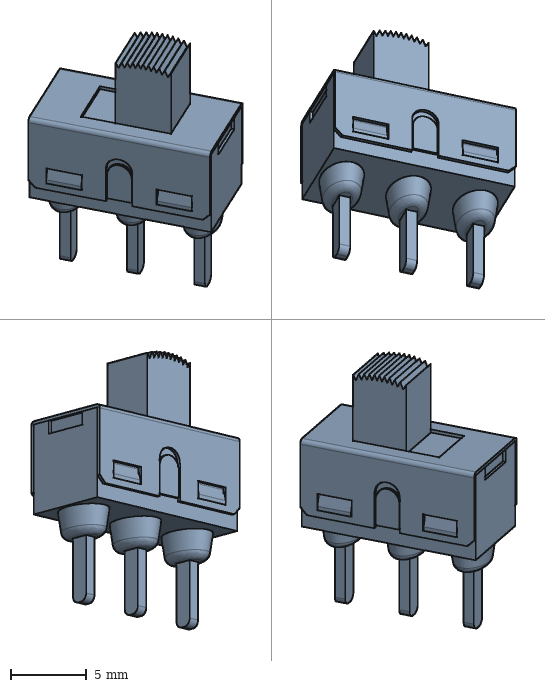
import cadquery as cq
import math


LENGTH = 12.7
SHELL_WIDTH = 6.6
SHELL_TOP = 6.37
SHELL_BOTTOM = 1.01
SHEET = 0.23
BEND_RADIUS = 0.3
CORNER_CHAMFER = 0.5
HOUSING_WIDTH = SHELL_WIDTH - 2 * SHEET
HOUSING_HEIGHT = SHELL_TOP - SHEET
SIDES = (-1, 1)

END_RECESS_WIDTH = 3.18
END_RECESS_HEIGHT = 0.9
END_RECESS_DEPTH = 0.21

WINDOW_INNER_X = 2.6
WINDOW_OUTER_X = 5.09
WINDOW_BOTTOM = 1.51
WINDOW_TOP = 2.7
LATCH_INNER_X = 2.65
LATCH_EDGE_Z = 1.81
LATCH_TOP = 2.6
LATCH_HEIGHT = 0.21

SLOT_WIDTH = 1.85
SLOT_TOP = 4.5
KEY_WIDTH = 1.7
KEY_TOP = 4.0
KEY_BOTTOM = 1.23
KEY_HEIGHT = 0.18

OPENING_LENGTH = 6.3
SLIDER_LENGTH = 3.88
SLIDER_WIDTH = 3.84
SLIDER_X = (OPENING_LENGTH - SLIDER_LENGTH) / 2
SLIDER_TOP = 11.45
CROWN_DROP = 0.34
CROWN_RADIUS = ((SLIDER_LENGTH / 2) ** 2 + CROWN_DROP ** 2) / (2 * CROWN_DROP)
TOOTH_COUNT = 10
TOOTH_ANGLE = 5
TOOTH_DEPTH = 0.41
FAN_HEIGHT = SLIDER_LENGTH / 2 / math.tan(math.radians(TOOTH_ANGLE * TOOTH_COUNT / 2))

PIN_PITCH = 4.7
PIN_POSITIONS = (-PIN_PITCH, 0, PIN_PITCH)
PIN_THICKNESS = 0.76
PIN_WIDTH = 1.28
PIN_LENGTH = 17.78 - SLIDER_TOP
PIN_TIP_RADIUS = 0.5
SEAL_LENGTH = 2.83
SEAL_WIDTH = 3.98
SEAL_HEIGHT = 1.88
SEAL_TAPER = 8.5
SEAL_EDGE_RADIUS = 0.6


def centred_box(length, width, bottom, top):
    """Box centred on the Z axis between two heights."""
    return cq.Workplane("XY").workplane(offset=bottom).rect(length, width).extrude(top - bottom)


def arch(width, bottom, top, depth):
    """Round-topped plate, centred on Y = 0 and `depth` thick along Y."""
    radius = width / 2
    return (
        cq.Workplane("XZ")
        .moveTo(-radius, bottom)
        .lineTo(-radius, top - radius)
        .threePointArc((0, top), (radius, top - radius))
        .lineTo(radius, bottom)
        .close()
        .extrude(depth / 2, both=True)
    )


def make_latches():
    """Pair of wedges across the housing; each shows at both long sides."""
    wall_y = HOUSING_WIDTH / 2
    crest_y = wall_y + LATCH_HEIGHT
    profile = [
        (-crest_y, WINDOW_BOTTOM),
        (crest_y, WINDOW_BOTTOM),
        (crest_y, LATCH_EDGE_Z),
        (wall_y, LATCH_TOP),
        (-wall_y, LATCH_TOP),
        (-crest_y, LATCH_EDGE_Z),
    ]
    latch = (
        cq.Workplane("YZ", origin=(LATCH_INNER_X, 0, 0))
        .polyline(profile)
        .close()
        .extrude(WINDOW_OUTER_X - LATCH_INNER_X)
    )
    return latch.union(latch.mirror("YZ"))


def make_housing():
    """Block with latches and keys on its long sides and a recess in each end."""
    housing = centred_box(LENGTH, HOUSING_WIDTH, 0, HOUSING_HEIGHT)
    housing = housing.union(make_latches())
    housing = housing.union(arch(KEY_WIDTH, KEY_BOTTOM, KEY_TOP, HOUSING_WIDTH + 2 * KEY_HEIGHT))
    recess_bottom = HOUSING_HEIGHT - END_RECESS_HEIGHT
    recess = centred_box(2 * END_RECESS_DEPTH, END_RECESS_WIDTH, recess_bottom, HOUSING_HEIGHT)
    for side in SIDES:
        housing = housing.cut(recess.translate((side * LENGTH / 2, 0, 0)))
    return housing


def make_shell():
    """Sheet bent over the housing, open at the ends and underneath."""
    shell = (
        centred_box(LENGTH, SHELL_WIDTH, SHELL_BOTTOM, SHELL_TOP)
        .edges("|X and >Z")
        .fillet(BEND_RADIUS)
        .edges("|Y and <Z")
        .chamfer(CORNER_CHAMFER)
        .cut(centred_box(LENGTH, HOUSING_WIDTH, 0, HOUSING_HEIGHT))
    )
    shell = shell.cut(centred_box(OPENING_LENGTH, SLIDER_WIDTH, 0, SHELL_TOP))
    shell = shell.cut(arch(SLOT_WIDTH, 0, SLOT_TOP, SHELL_WIDTH))
    window = centred_box(WINDOW_OUTER_X - WINDOW_INNER_X, SHELL_WIDTH, WINDOW_BOTTOM, WINDOW_TOP)
    window_x = (WINDOW_INNER_X + WINDOW_OUTER_X) / 2
    for side in SIDES:
        shell = shell.cut(window.translate((side * window_x, 0, 0)))
    return shell


def serration_points():
    """Alternate tooth tips and valleys; tips follow the crown arc."""
    points = []
    for half_step in range(-TOOTH_COUNT, TOOTH_COUNT + 1):
        x = FAN_HEIGHT * math.tan(math.radians(half_step * TOOTH_ANGLE / 2))
        z = SLIDER_TOP - CROWN_RADIUS + math.sqrt(CROWN_RADIUS ** 2 - x ** 2)
        is_valley = half_step % 2 == 1
        if is_valley:
            z -= TOOTH_DEPTH
        points.append((x, z))
    return points


def make_slider():
    """Upright block standing on the housing at the +X end of the opening."""
    half_length = SLIDER_LENGTH / 2
    feet = [(half_length, HOUSING_HEIGHT), (-half_length, HOUSING_HEIGHT)]
    return (
        cq.Workplane("XZ", origin=(SLIDER_X, 0, 0))
        .polyline(serration_points() + feet)
        .close()
        .extrude(SLIDER_WIDTH / 2, both=True)
    )


def make_pin(x):
    """Flat pin below the housing with its tip rounded across the width."""
    pin = centred_box(PIN_THICKNESS, PIN_WIDTH, -PIN_LENGTH, 0)
    return pin.edges("|X and <Z").fillet(PIN_TIP_RADIUS).translate((x, 0, 0))


def make_seal(x):
    """Tapered oval boss around a pin, rounded at its lower rim."""
    inset = SEAL_HEIGHT * math.tan(math.radians(SEAL_TAPER))
    seal = (
        cq.Workplane("XY")
        .ellipse(SEAL_WIDTH / 2, SEAL_LENGTH / 2, rotation_angle=90)
        .workplane(offset=-SEAL_HEIGHT)
        .ellipse(SEAL_WIDTH / 2 - inset, SEAL_LENGTH / 2 - inset, rotation_angle=90)
        .loft(ruled=True)
        .faces("<Z")
        .edges()
        .fillet(SEAL_EDGE_RADIUS)
    )
    return seal.cut(centred_box(PIN_THICKNESS, PIN_WIDTH, -SEAL_HEIGHT, 0)).translate((x, 0, 0))


housing = make_housing()
shell = make_shell()
slider = make_slider()
pins = [make_pin(x) for x in PIN_POSITIONS]
seals = [make_seal(x) for x in PIN_POSITIONS]

result = cq.Compound.makeCompound(
    [
        housing.val(),
        shell.val(),
        slider.val(),
        *[pin.val() for pin in pins],
        *[seal.val() for seal in seals],
    ]
)